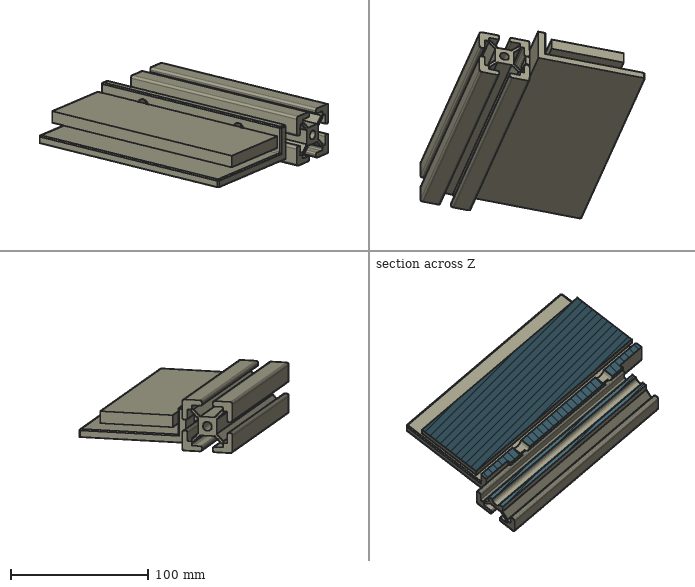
import cadquery as cq
total_length = 175.0
rail_length = 152.2
rail_side = 38.2
rail_bore_diameter = 6.6
slot_half_width = 4.0
lip_thickness = 4.0
cavity_half_width = 11.9
cavity_floor = 12.0
core_half_width = 7.0
web_thickness = 2.3
rail_edge_radius = 1.8
lip_inner_radius = 1.2
cavity_radius = 1.0

bracket_length = 164.8
bracket_depth = 81.0
bracket_height = 26.0
bracket_top = 10.7
bracket_thickness = 6.0
bracket_chamfer = 1.0
inner_radius = 0.9

tongue_depth = 2.8
tongue_tip_bottom = -2.8
tongue_root_bottom = -4.0

hole_spacing = 87.5
hole_height = 1.0
hole_diameter = 9.5

bar_width = 55.0
bar_thickness = 9.0
bar_top = 4.7
bar_gap = 4.0

edge_margin = 0.2

rail_start = total_length - rail_length
rail_half = rail_side / 2
rail_face = -rail_half
wall_face = rail_face - bracket_thickness
bracket_bottom = bracket_top - bracket_height
floor_top = bracket_bottom + bracket_thickness
toe_face = rail_face - bracket_depth


def slot_cutter():
    """T-shaped cutter for the slot that opens on the +Z face."""
    roof = rail_half - lip_thickness
    web_offset = web_thickness / 2 * 2 ** 0.5
    cavity = (
        cq.Workplane("YZ", origin=(rail_start, 0, 0))
        .polyline([
            (-cavity_half_width, roof),
            (cavity_half_width, roof),
            (cavity_half_width, cavity_floor),
            (cavity_floor - web_offset, cavity_floor),
            (core_half_width - web_offset, core_half_width),
            (web_offset - core_half_width, core_half_width),
            (web_offset - cavity_floor, cavity_floor),
            (-cavity_half_width, cavity_floor),
        ])
        .close()
        .extrude(rail_length)
        .edges("|X and (<Y or >Y)")
        .fillet(cavity_radius)
    )
    opening = (
        cq.Workplane("YZ", origin=(rail_start, 0, 0))
        .center(0, (core_half_width + rail_half) / 2)
        .rect(2 * slot_half_width, rail_half - core_half_width)
        .extrude(rail_length)
    )
    neck_edges = cq.selectors.BoxSelector(
        (0, -slot_half_width - edge_margin, roof - edge_margin),
        (total_length, slot_half_width + edge_margin, roof + edge_margin),
    )
    return cavity.union(opening).edges("|X").edges(neck_edges).fillet(lip_inner_radius)


def make_rail():
    """Square rail with one slot per side and a bore along its axis."""
    rail = (
        cq.Workplane("YZ", origin=(rail_start, 0, 0))
        .rect(rail_side, rail_side)
        .extrude(rail_length)
    )
    cutter = slot_cutter()
    for quarter in range(4):
        rail = rail.cut(cutter.rotate((0, 0, 0), (1, 0, 0), 90 * quarter))
    for face in (">Z", "<Z"):
        rail = rail.faces(face).edges("|X").fillet(rail_edge_radius)
    lip_edges = cq.selectors.BoxSelector(
        (0, -rail_side, -slot_half_width - edge_margin),
        (total_length, rail_side, slot_half_width + edge_margin),
    )
    for face in (">Y", "<Y"):
        rail = rail.faces(face).edges("|X").edges(lip_edges).fillet(rail_edge_radius)
    bore = (
        cq.Workplane("YZ", origin=(rail_start, 0, 0))
        .circle(rail_bore_diameter / 2)
        .extrude(rail_length)
    )
    return rail.cut(bore)


def make_wall_and_floor():
    """L-shaped plate with chamfered exposed edges and a rounded inner corner."""
    outline = [
        (rail_face, bracket_top),
        (wall_face, bracket_top),
        (wall_face, floor_top),
        (toe_face, floor_top),
        (toe_face, bracket_bottom),
        (rail_face, bracket_bottom),
    ]
    plate = cq.Workplane("YZ").polyline(outline).close().extrude(bracket_length)
    inner_corner = cq.selectors.NearestToPointSelector((bracket_length / 2, wall_face, floor_top))
    sharp_edges = (
        plate.edges(inner_corner)
        .add(plate.faces(">Y or <Z").edges("|X"))
        .add(plate.faces(">Y").edges("|Z"))
        .add(plate.faces("<Z").edges("|Y"))
        .vals()
    )
    exposed_edges = [
        edge for edge in plate.edges().vals()
        if not any(edge.isSame(sharp_edge) for sharp_edge in sharp_edges)
    ]
    plate = plate.newObject(exposed_edges).chamfer(bracket_chamfer)
    return plate.edges(inner_corner).fillet(inner_radius)


def make_tongue():
    """Tongue lying against the upper slot lip, with a sloping underside."""
    tip = rail_face + tongue_depth
    return (
        cq.Workplane("YZ", origin=(rail_start, 0, 0))
        .polyline([
            (rail_face, slot_half_width),
            (tip, slot_half_width),
            (tip, tongue_tip_bottom),
            (rail_face, tongue_root_bottom),
        ])
        .close()
        .extrude(bracket_length - 2 * rail_start)
    )


def make_bracket():
    """L-shaped plate and its tongue, drilled right through for two screws."""
    hole_places = [(side * hole_spacing / 2, 0) for side in (-1, 1)]
    return (
        make_wall_and_floor()
        .union(make_tongue())
        .copyWorkplane(cq.Workplane("XZ", origin=(bracket_length / 2, wall_face, hole_height)))
        .pushPoints(hole_places)
        .hole(hole_diameter)
    )


def make_bar():
    """Plain rectangular bar in front of the bracket wall."""
    back = wall_face - bar_gap
    return cq.Workplane("XY", origin=(0, back - bar_width, bar_top - bar_thickness)).box(
        bracket_length, bar_width, bar_thickness, centered=False
    )


rail = make_rail()
bracket = make_bracket()
bar = make_bar()

result = cq.Compound.makeCompound([rail.solids().val(), bracket.solids().val(), bar.val()])